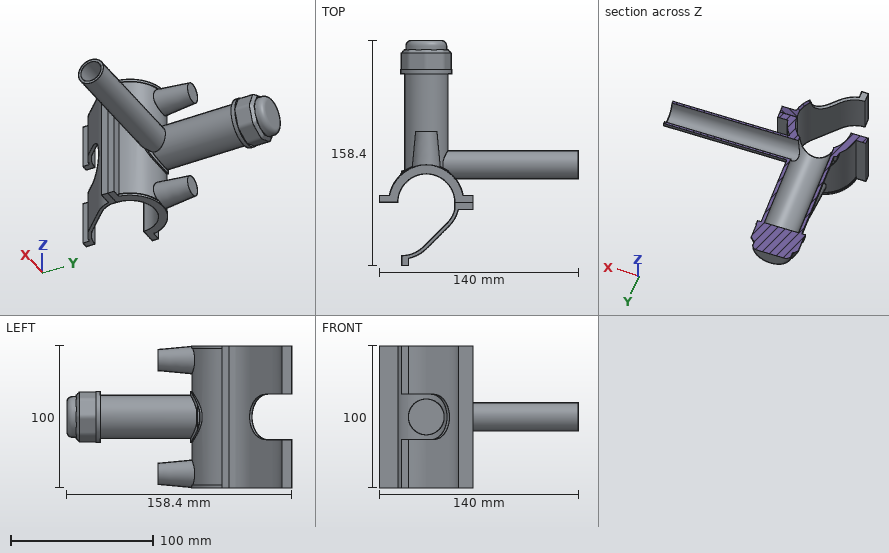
import cadquery as cq
import math

length = 100.0
bore_radius = 20.0
shell_radius = 26.0
band_radius = 26.5
band_width = 2.0
flange_half_width = 33.0
flange_thickness = 5.0

saddle_diameter = 36.0
saddle_radius = 27.0
seat_diameter = 35.2
seat_top_y = 22.6
seat_bevel_height = 0.6
seat_bevel_width = 2.2
socket_diameter = 30.6
socket_bore = 25.2
cap_collar_start = 90.4
cap_collar_diameter = 36.0
cap_collar_width = 3.0
nut_sides = 8
nut_across_corners = 36.0
nut_corner_radius = 4.0
nut_height = 14.0
nut_chamfer = 2.4
cap_tip_diameter = 28.8
cap_tip_fillet = 4.0
cap_end = 114.0

pipe_diameter = 20.0
pipe_bore = 16.0
pipe_end = 107.0
pipe_axis_y = 26.5

peg_tip_diameter = 15.0
peg_base_diameter = 20.0
peg_base_y = 23.5
peg_tip_y = 50.0
peg_offset_z = 40.0

strap_thickness = 2.5
run_angle = -45.0
strap_inner_radius = math.hypot(bore_radius, flange_thickness)
strap_outer_radius = strap_inner_radius + strap_thickness
hook_center_x = -17.4
tab_width = 5.0
tab_height = 7.0
notch_radius = 16.0


def rod_y(diameter, start, end):
    """Cylinder along Y, centred on X = Z = 0."""
    plane = cq.Plane(origin=(0, start, 0), xDir=(1, 0, 0), normal=(0, 1, 0))
    return cq.Workplane(plane).circle(diameter / 2).extrude(end - start)


def rod_z(radius, height):
    """Cylinder along Z, centred on the origin."""
    return cq.Workplane("XY").workplane(offset=-height / 2).circle(radius).extrude(height)


def back_half(solid):
    """Keep the part of a solid at Y > 0."""
    size = 2 * length
    return solid.intersect(cq.Workplane("XY").box(size, size, size, centered=(True, False, True)))


def make_shell():
    shell = rod_z(shell_radius, length)
    for side in (-1, 1):
        band_center = side * (length - band_width) / 2
        shell = shell.union(rod_z(band_radius, band_width).translate((0, 0, band_center)))
    flanges = cq.Workplane("XY").box(2 * flange_half_width, 2 * flange_thickness, length)
    return back_half(shell.union(flanges))


def make_saddle():
    return rod_y(saddle_diameter, 0, saddle_radius).intersect(rod_z(saddle_radius, length))


def make_seat():
    seat = rod_y(seat_diameter, 0, seat_top_y)
    return seat.faces(">Y").chamfer(seat_bevel_height, seat_bevel_width)


def make_cap():
    collar_end = cap_collar_start + cap_collar_width
    plane = cq.Plane(origin=(0, collar_end, 0), xDir=(1, 0, 0), normal=(0, 1, 0))
    nut = (
        cq.Workplane(plane)
        .polygon(nut_sides, nut_across_corners)
        .extrude(nut_height)
        .edges("|Y")
        .fillet(nut_corner_radius)
        .faces(">Y")
        .chamfer(nut_chamfer)
    )
    tip = rod_y(cap_tip_diameter, collar_end, cap_end).faces(">Y").edges().fillet(cap_tip_fillet)
    return rod_y(cap_collar_diameter, cap_collar_start, collar_end).union(nut).union(tip)


def make_peg(z):
    plane = cq.Plane(origin=(0, peg_base_y, z), xDir=(1, 0, 0), normal=(0, 1, 0))
    return (
        cq.Workplane(plane)
        .circle(peg_base_diameter / 2)
        .workplane(offset=peg_tip_y - peg_base_y)
        .circle(peg_tip_diameter / 2)
        .loft()
    )


def pipe_rod(diameter):
    """Cylinder along X, on the axis of the side pipe."""
    return (
        cq.Workplane("YZ")
        .center(pipe_axis_y, 0)
        .circle(diameter / 2)
        .extrude(pipe_end)
    )


def make_clamp():
    clamp = make_shell().union(make_saddle()).union(make_seat())
    clamp = clamp.union(rod_y(socket_diameter, 0, cap_collar_start))
    clamp = clamp.union(make_cap())
    clamp = clamp.union(pipe_rod(pipe_diameter))
    for side in (-1, 1):
        clamp = clamp.union(make_peg(side * peg_offset_z))
    clamp = clamp.cut(rod_z(bore_radius, length))
    clamp = clamp.cut(rod_y(socket_bore, 0, cap_collar_start))
    return clamp.cut(pipe_rod(pipe_bore))


def polar(center, radius, degrees):
    """Point on a circle in the XY plane, at an angle from +X."""
    angle = math.radians(degrees)
    return (center[0] + radius * math.cos(angle), center[1] + radius * math.sin(angle))


def make_strap():
    bore_center = (0, 0)
    run_end_y = -strap_outer_radius * math.sqrt(2)
    hook_center = (hook_center_x, run_end_y - hook_center_x)
    hook_outer = -hook_center_x * math.sqrt(2)
    hook_inner = hook_outer - strap_thickness
    tab_top = hook_center[1] - hook_inner
    tab_bottom = tab_top - tab_height
    tab_right = hook_center_x + tab_width
    flange_inner_x = math.sqrt(strap_outer_radius**2 - flange_thickness**2)
    flange_angle = -math.degrees(math.asin(flange_thickness / strap_outer_radius))
    inner_angle = -math.degrees(math.atan(flange_thickness / bore_radius))
    tab_angle = -math.degrees(math.acos(tab_width / hook_outer))
    profile = (
        cq.Workplane("XY")
        .moveTo(bore_radius, 0)
        .lineTo(flange_half_width, 0)
        .lineTo(flange_half_width, -flange_thickness)
        .lineTo(flange_inner_x, -flange_thickness)
        .threePointArc(
            polar(bore_center, strap_outer_radius, (flange_angle + run_angle) / 2),
            polar(bore_center, strap_outer_radius, run_angle),
        )
        .lineTo(*polar(hook_center, hook_outer, run_angle))
        .threePointArc(
            polar(hook_center, hook_outer, (tab_angle + run_angle) / 2),
            polar(hook_center, hook_outer, tab_angle),
        )
        .lineTo(tab_right, tab_bottom)
        .lineTo(hook_center_x, tab_bottom)
        .lineTo(hook_center_x, tab_top)
        .threePointArc(
            polar(hook_center, hook_inner, (run_angle - 90) / 2),
            polar(hook_center, hook_inner, run_angle),
        )
        .lineTo(*polar(bore_center, strap_inner_radius, run_angle))
        .threePointArc(
            polar(bore_center, strap_inner_radius, (inner_angle + run_angle) / 2),
            (bore_radius, -flange_thickness),
        )
        .close()
    )
    strap = profile.extrude(length).translate((0, 0, -length / 2))

    run_start = polar(bore_center, strap_outer_radius, run_angle)
    run_plane = cq.Plane(origin=(*run_start, 0), xDir=(-1, -1, 0), normal=(1, -1, 0))
    notch = (
        cq.Workplane(run_plane)
        .center(notch_radius, 0)
        .circle(notch_radius)
        .extrude(length, both=True)
        .union(
            cq.Workplane(run_plane)
            .center(notch_radius + length / 2, 0)
            .rect(length, 2 * notch_radius)
            .extrude(length, both=True)
        )
    )
    return strap.cut(notch)


clamp = make_clamp()
strap = make_strap()
result = cq.Compound.makeCompound([clamp.val(), strap.val()])